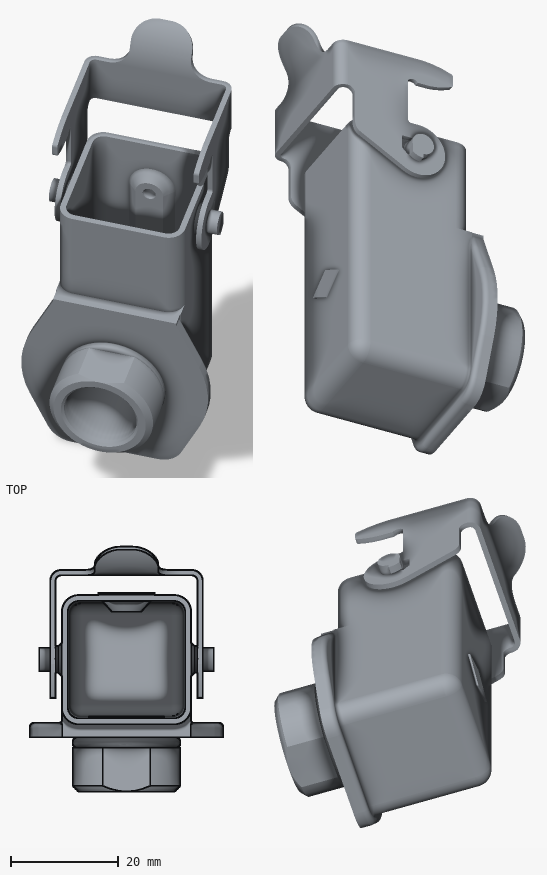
import cadquery as cq
import math


shell_width = 24.0
shell_front_y = 2.4
shell_back_y = shell_front_y + shell_width
shell_bottom_z = 2.5
shell_top_z = 55.0
shell_corner_radius = 3.15
shell_middle_y = (shell_front_y + shell_back_y) / 2

cavity_top_width = 21.8
cavity_floor_width = 20.8
cavity_floor_z = 4.1
cavity_corner_radius = 2.1

flange_thickness = 2.75
flange_radius = 18.0
flange_center_z = flange_radius
flange_slope_angle = 25.0
flange_top_z = 35.85
flange_top_half_width = 11.9
flange_bottom_corner_radius = 5.0
flange_edge_radius = 0.95
flange_root_radius = 0.4
plane_tolerance = 0.1

gland_center_z = flange_center_z
gland_radius = 10.0
gland_front_y = -10.1
gland_chamfer = 1.1
gland_across_flats = 17.9
gland_flats_end_y = -1.9
collar_fillet = 0.8
bore_radius = 7.0
bore_chamfer = 0.5
bore_overrun = 0.4

boss_center_z = 44.5
boss_base_radius = 4.55
boss_tip_radius = 2.7
boss_tip_y = 23.3
screw_hole_radius = 1.25
screw_hole_depth = 2.35

pad_width = 10.45
pad_height = 6.1
pad_thickness = 0.4
pad_center_z = 24.45

pivot_y = 14.5
pivot_z = 49.45
pin_radius = 2.2
pin_end_x = 16.2
pin_cone_radius = 3.1
pin_shoulder_radius = 2.5
pin_cone_length = 0.6
pin_tab_reach = 3.1
pin_tab_width = 2.1
pin_tab_length = 1.4

sheet = 1.0
lever_half_width = 14.15
lever_bend_radius = 2.05
lever_back_y = 31.05
lever_top_z = 69.6
lever_strap_bottom_z = 59.65
lever_arm_back_y = 27.5
lever_arm_front_y = 16.6
hub_radius = 5.5
hub_slope_angle = 30.0
arm_corner_radius = 2.35
strap_corner_radius = 1.5
arm_inner_radius = 0.6
hook_tip_y = 7.3
hook_tip_top_z = 68.1
hook_tip_bottom_z = 65.55
hook_top_start_y = 13.6
hook_top_mid_y = 10.4
hook_top_mid_z = 69.1
hook_bottom_start_y = 11.95
hook_bottom_mid_y = 9.6
hook_bottom_mid_z = 64.7
hook_bottom_z = 64.3
hook_relief_y = 14.6
hook_relief_depth = 0.55
keyway_reach = 3.4
keyway_drop = 0.5
keyway_slant = 1.25

tab_outer_radius = 10.9
tab_top_z = 78.6
tab_half_width = 5.9
tab_root_radius = 4.1
tab_tip_corner_radius = 4.9


def box_between(x_limits, y_limits, z_limits):
    """Box given by its lower and upper limit along each axis."""
    size = [high - low for low, high in (x_limits, y_limits, z_limits)]
    corner = (x_limits[0], y_limits[0], z_limits[0])
    return cq.Workplane("XY").box(*size, centered=False).translate(corner)


def cylinder_y(radius, front_y, back_y, z):
    """Cylinder along Y on the plane of symmetry."""
    return cq.Workplane("XZ", origin=(0, front_y, z)).circle(radius).extrude(front_y - back_y)


def shell_outside():
    """Rounded block; its lower part keeps square front corners to meet the flange."""
    half = shell_width / 2
    sides = (-half, half)
    depth = (shell_front_y, shell_back_y)
    lower = box_between(sides, depth, (shell_bottom_z, flange_top_z))
    lower = lower.edges("(|Z and >Y) or (<Z and (not <Y))").fillet(shell_corner_radius)
    upper = box_between(sides, depth, (flange_top_z, shell_top_z)).edges("|Z").fillet(shell_corner_radius)
    return lower.union(upper)


def shell_cavity():
    """Cavity that narrows from the open top to a floor with rounded edges."""
    depth = shell_top_z - cavity_floor_z
    inset = (cavity_top_width - cavity_floor_width) / 2
    taper = math.degrees(math.atan2(inset, depth))
    mouth = cq.Workplane("XY", origin=(0, shell_middle_y, shell_top_z))
    cavity = mouth.rect(cavity_top_width, cavity_top_width).extrude(-depth, taper=taper)
    return cavity.edges("not >Z").fillet(cavity_corner_radius)


def screw_boss():
    """Cone on top of a trapezoidal rib, from the floor up along the back wall.

    Its root runs into the back wall and the floor, and is trimmed to the outside of the shell.
    """
    wall_y = shell_middle_y + cavity_top_width / 2
    root_y = shell_back_y
    flare = (boss_base_radius - boss_tip_radius) / (wall_y - boss_tip_y)
    root_radius = boss_base_radius + flare * (root_y - wall_y)
    profile = [(0, boss_tip_y), (boss_tip_radius, boss_tip_y), (root_radius, root_y), (0, root_y)]
    cone = cq.Workplane("XY").polyline(profile).close().revolve(360, (0, 0), (0, 1))
    cone = cone.translate((0, 0, boss_center_z))
    section = [(-root_radius, root_y), (-boss_tip_radius, boss_tip_y),
               (boss_tip_radius, boss_tip_y), (root_radius, root_y)]
    rib_bottom_z = (shell_bottom_z + cavity_floor_z) / 2
    rib = cq.Workplane("XY", origin=(0, 0, rib_bottom_z)).polyline(section).close()
    rib = rib.extrude(boss_center_z - rib_bottom_z)
    return rib.union(cone).intersect(shell_outside())


def flange():
    """Plate bounded by two side arcs, straight slopes and a flat top and bottom."""
    angle = math.radians(flange_slope_angle)
    arc_x = flange_radius * math.cos(angle)
    arc_rise = flange_radius * math.sin(angle)
    arc_top_z = flange_center_z + arc_rise
    slope_top_z = arc_top_z + (arc_x - flange_top_half_width) / math.tan(angle)
    bottom_x = arc_x - (flange_center_z - arc_rise) * math.tan(angle)
    plate = (
        cq.Workplane("XZ")
        .moveTo(-bottom_x, 0)
        .lineTo(bottom_x, 0)
        .lineTo(arc_x, flange_center_z - arc_rise)
        .threePointArc((flange_radius, flange_center_z), (arc_x, arc_top_z))
        .lineTo(flange_top_half_width, slope_top_z)
        .lineTo(flange_top_half_width, flange_top_z)
        .lineTo(-flange_top_half_width, flange_top_z)
        .lineTo(-flange_top_half_width, slope_top_z)
        .lineTo(-arc_x, arc_top_z)
        .threePointArc((-flange_radius, flange_center_z), (-arc_x, flange_center_z - arc_rise))
        .close()
        .extrude(-flange_thickness)
    )
    plate = plate.edges("|Y and <Z").fillet(flange_bottom_corner_radius)
    below_slope_top = cq.selectors.BoxSelector(
        (-flange_radius - plane_tolerance, flange_thickness - plane_tolerance, -plane_tolerance),
        (flange_radius + plane_tolerance, flange_thickness + plane_tolerance, slope_top_z - plane_tolerance),
    )
    return plate.edges(below_slope_top).fillet(flange_edge_radius)


def flange_root_edges():
    """Selector of the edges where the back of the flange meets the shell."""
    half_width = shell_width / 2 + flange_root_radius
    return cq.selectors.BoxSelector(
        (-half_width, flange_thickness - plane_tolerance, shell_bottom_z - flange_root_radius),
        (half_width, flange_thickness + plane_tolerance, flange_top_z - flange_root_radius),
    )


def gland():
    """Round gland with two wrench flats, a front chamfer and a rounded collar at the flange."""
    body = cylinder_y(gland_radius, gland_front_y, 0, gland_center_z)
    body = body.faces("<Y").chamfer(gland_chamfer)
    flats_depth = (gland_front_y, gland_flats_end_y)
    envelope = box_between(
        (-gland_radius, gland_radius),
        flats_depth,
        (gland_center_z - gland_across_flats / 2, gland_center_z + gland_across_flats / 2),
    )
    collar = cylinder_y(gland_radius, gland_flats_end_y, 0, gland_center_z)
    collar = collar.edges().fillet(collar_fillet)
    return body.intersect(envelope).union(collar)


def entry_bore():
    """Chamfered bore through the gland and the front wall into the cavity."""
    inner_end_y = shell_middle_y - cavity_floor_width / 2 + bore_overrun
    bore = cylinder_y(bore_radius, gland_front_y, inner_end_y, gland_center_z)
    rim = bore_radius + bore_chamfer
    cone = cq.Solid.makeCone(
        rim,
        bore_radius,
        bore_chamfer,
        cq.Vector(0, gland_front_y, gland_center_z),
        cq.Vector(0, 1, 0),
    )
    return bore.union(cq.Workplane(cone))


def back_pad():
    """Thin diamond pad on the back wall."""
    corners = [(-pad_width / 2, 0), (0, pad_height / 2), (pad_width / 2, 0), (0, -pad_height / 2)]
    return (
        cq.Workplane("XZ", origin=(0, shell_back_y, pad_center_z))
        .polyline(corners)
        .close()
        .extrude(-pad_thickness)
    )


def pivot_pin(side):
    """Pin with a conical shoulder and a retaining tab at its end; side is +1 or -1."""
    wall_x = shell_width / 2
    lever_inner_x = lever_half_width - sheet
    center = (pivot_y, pivot_z)
    pin = cq.Workplane("YZ", origin=(wall_x, 0, 0)).center(*center).circle(pin_radius)
    pin = pin.extrude(pin_end_x - wall_x)
    shoulder = cq.Workplane("YZ", origin=(wall_x, 0, 0)).center(*center).circle(pin_shoulder_radius)
    shoulder = shoulder.extrude(lever_inner_x - wall_x)
    cone = cq.Solid.makeCone(
        pin_cone_radius,
        pin_shoulder_radius,
        pin_cone_length,
        cq.Vector(wall_x, pivot_y, pivot_z),
        cq.Vector(1, 0, 0),
    )
    tab_x = pin_end_x - pin_tab_length
    tab = cq.Workplane("YZ", origin=(tab_x, 0, 0)).center(*center).circle(pin_tab_reach)
    tab = tab.extrude(pin_tab_length)
    quarter = box_between(
        (tab_x, pin_end_x), (pivot_y, pivot_y + pin_tab_width), (pivot_z - pin_tab_reach, pivot_z)
    )
    pin = pin.union(shoulder).union(cq.Workplane(cone)).union(tab.intersect(quarter))
    return pin if side > 0 else pin.mirror("YZ")


def make_housing():
    body = shell_outside().union(flange())
    body = body.edges(flange_root_edges()).fillet(flange_root_radius).union(gland())
    body = body.cut(shell_cavity()).union(screw_boss())
    body = body.cut(cylinder_y(screw_hole_radius, boss_tip_y, boss_tip_y + screw_hole_depth, boss_center_z))
    body = body.cut(entry_bore()).union(back_pad())
    for side in (1, -1):
        body = body.union(pivot_pin(side))
    return body


def lever_side_outline():
    """Side profile of the lever: back strap, hub around the pin and hook at the top."""
    angle = math.radians(hub_slope_angle)
    slope_end_y = pivot_y + hub_radius * math.sin(angle)
    slope_end_z = pivot_z - hub_radius * math.cos(angle)
    slope_start_z = slope_end_z + (lever_arm_back_y - slope_end_y) * math.tan(angle)
    hub_top_z = pivot_z + hub_radius
    relief_y = (hook_relief_y + lever_arm_front_y) / 2
    profile = (
        cq.Workplane("YZ", origin=(-lever_half_width, 0, 0))
        .moveTo(lever_back_y, lever_top_z)
        .lineTo(lever_back_y, lever_strap_bottom_z)
        .lineTo(lever_arm_back_y, lever_strap_bottom_z)
        .lineTo(lever_arm_back_y, slope_start_z)
        .lineTo(slope_end_y, slope_end_z)
        .threePointArc((pivot_y - hub_radius, pivot_z), (pivot_y, hub_top_z))
        .lineTo(lever_arm_front_y, hub_top_z)
        .lineTo(lever_arm_front_y, hook_bottom_z)
        .threePointArc((relief_y, hook_bottom_z + hook_relief_depth), (hook_relief_y, hook_bottom_z))
        .lineTo(hook_bottom_start_y, hook_bottom_z)
        .threePointArc((hook_bottom_mid_y, hook_bottom_mid_z), (hook_tip_y, hook_tip_bottom_z))
        .lineTo(hook_tip_y, hook_tip_top_z)
        .threePointArc((hook_top_mid_y, hook_top_mid_z), (hook_top_start_y, lever_top_z))
        .close()
        .extrude(2 * lever_half_width)
    )
    rounded_corners = [
        (lever_arm_back_y, lever_strap_bottom_z, strap_corner_radius),
        (lever_arm_back_y, slope_start_z, arm_corner_radius),
        (lever_arm_front_y, hub_top_z, arm_inner_radius),
        (hook_tip_y, hook_tip_top_z, arm_inner_radius),
        (hook_tip_y, hook_tip_bottom_z, arm_inner_radius),
    ]
    for y, z, radius in rounded_corners:
        profile = profile.edges(cq.selectors.NearestToPointSelector((0, y, z))).fillet(radius)
    return profile


def lever_channel():
    """Bent sheet of U section, open to the front, as tall as the lever."""
    bottom_z = pivot_z - hub_radius - sheet
    inner_half = lever_half_width - sheet
    inner_back_y = lever_back_y - sheet
    z_limits = (bottom_z, lever_top_z)
    outside = box_between((-lever_half_width, lever_half_width), (0, lever_back_y), z_limits)
    outside = outside.edges("|Z and >Y").fillet(lever_bend_radius)
    inside = box_between((-inner_half, inner_half), (0, inner_back_y), z_limits)
    inside = inside.edges("|Z and >Y").fillet(lever_bend_radius - sheet)
    return outside.cut(inside)


def thumb_tab():
    """Curved tab above the back strap, swept backwards, with a rounded end."""
    bend_center_y = lever_back_y - sheet + tab_outer_radius
    rise = tab_top_z - lever_top_z
    reach_angle = math.degrees(math.asin(rise / tab_outer_radius))
    axis_offset = bend_center_y - lever_back_y + sheet / 2
    strip = (
        cq.Workplane("XY", origin=(0, lever_back_y - sheet / 2, lever_top_z))
        .rect(2 * lever_half_width, sheet)
        .revolve(reach_angle, (0.8, axis_offset), (-0.8, axis_offset))
    )
    above_tip_z = tab_top_z + sheet
    root_x = tab_half_width + tab_root_radius
    root_z = lever_top_z + tab_root_radius
    chord = tab_root_radius * math.sqrt(0.5)
    outline = (
        cq.Workplane("XZ")
        .moveTo(-root_x, lever_top_z)
        .lineTo(root_x, lever_top_z)
        .threePointArc((root_x - chord, root_z - chord), (tab_half_width, root_z))
        .lineTo(tab_half_width, above_tip_z)
        .lineTo(-tab_half_width, above_tip_z)
        .lineTo(-tab_half_width, root_z)
        .threePointArc((chord - root_x, root_z - chord), (-root_x, lever_top_z))
        .close()
        .extrude(-bend_center_y)
    )
    tab = strip.intersect(outline)
    tip_angle = math.radians(reach_angle)
    tip_plane = cq.Plane(
        origin=(0, bend_center_y, lever_top_z),
        xDir=(1, 0, 0),
        normal=(0, -math.cos(tip_angle), math.sin(tip_angle)),
    )
    start_x = tab_half_width - tab_tip_corner_radius
    chord_x = start_x + tab_tip_corner_radius * math.sqrt(0.5)
    chord_y = tab_tip_corner_radius * (math.sqrt(0.5) - 1)
    corner = (
        cq.Workplane(tip_plane)
        .moveTo(start_x, 0)
        .threePointArc((chord_x, chord_y), (tab_half_width, -tab_tip_corner_radius))
        .lineTo(tab_half_width + sheet, -tab_tip_corner_radius)
        .lineTo(tab_half_width + sheet, sheet)
        .lineTo(start_x, sheet)
        .close()
        .extrude(tab_outer_radius + sheet)
    )
    return tab.cut(corner).cut(corner.mirror("YZ"))


def pivot_keyhole():
    """Hole for both pins with a keyway through which the tabs of the pins pass."""
    plane = cq.Workplane("YZ", origin=(-lever_half_width, 0, 0)).center(pivot_y, pivot_z)
    hole = plane.circle(pin_radius).extrude(2 * lever_half_width)
    corners = [(0, 0), (0, pin_radius), (keyway_reach, pin_radius), (keyway_reach, -keyway_drop),
               (keyway_reach - keyway_slant, -keyway_drop - keyway_slant)]
    keyway = plane.polyline(corners).close().extrude(2 * lever_half_width)
    return hole.union(keyway)


def make_lever():
    lever = lever_channel().intersect(lever_side_outline())
    return lever.union(thumb_tab()).cut(pivot_keyhole())


housing = make_housing()
lever = make_lever()
result = cq.Compound.makeCompound([housing.val(), lever.val()])